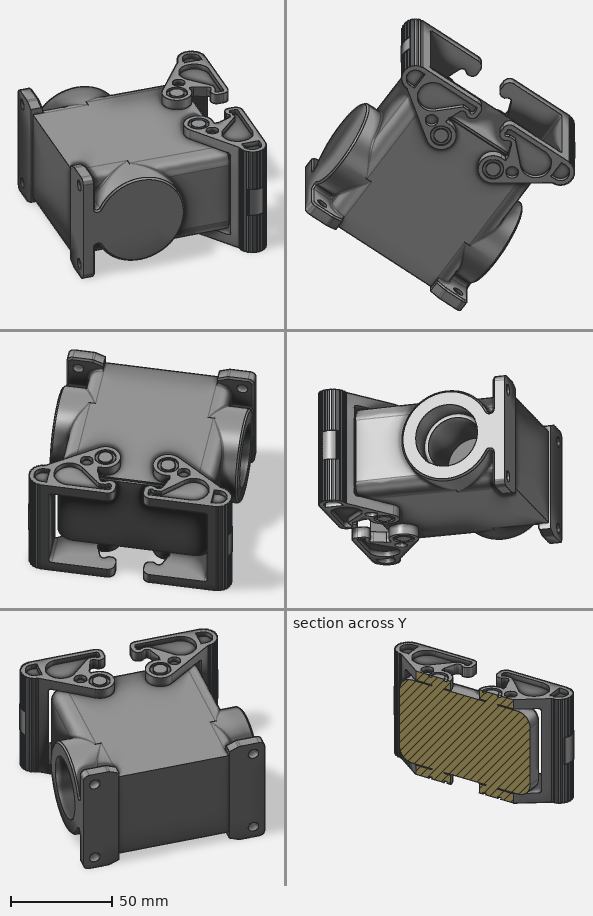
import cadquery as cq
import math


BODY_START = 1.0
STEP_Y = 30.0
BODY_END = 79.9
DRAFT_ANGLE = 0.3
BASE_HALF_HEIGHT = 23.68
LOWER_HALF_WIDTH = 35.65
UPPER_HALF_WIDTH = 38.4
BODY_CORNER_RADIUS = 7.5
LIP_HEIGHT = 1.2
LIP_INSET = 1.0

MOUNT_HALF_WIDTH = 46.95
FOOT_INNER_X = 28.6
FOOT_HALF_LENGTH = 28.9
FOOT_THICKNESS = 6.2
FOOT_CORNER_RADIUS = 3.0
FOOT_TAPER_LENGTH = 5.2
FOOT_TAPER_WIDTH = 2.1
FOOT_TAPER_BLEND = 3.0
FOOT_HOLE_X = 41.1
FOOT_HOLE_Z = 22.6
FOOT_HOLE_DIAMETER = 5.4
RIM_CHAMFER = 0.9
ROOT_FILLET = 0.8
BOSS_Y = STEP_Y
BOSS_RADIUS = 23.5
NOTCH_RADIUS = 1.5
BORE_RADIUS = 16.0
BORE_DEPTH = 14.4
INNER_BORE_RADIUS = 14.0

LEVER_HALF_HEIGHT = 29.0
ARM_INNER_Z = 23.6
LEVER_TOP = 96.9
GRIP_RADIUS = 7.0
GRIP_X = -43.8
GRIP_Y = LEVER_TOP - GRIP_RADIUS
GRIP_INNER_X = -39.7
GRIP_CORNER_RADIUS = 1.5
GROOVE_PITCH = 16.0
GROOVES_PER_SIDE = 5
GROOVE_WIDTH = 0.8
GROOVE_DEPTH = 0.25
PAD_HEIGHT = 0.25
PAD_HALF_LENGTH = 7.5
PAD_HALF_ANGLE = 38.0

HUB_X = -15.7
HUB_Y = 72.0
HUB_RADIUS = 7.4
PIVOT_GROOVE_RADIUS = 5.2
PIVOT_RADIUS = 3.6
PIVOT_GROOVE_DEPTH = 1.0
PIN_EMBED_IN_BODY = 2.0
PIN_EMBED_IN_ARM = 1.0

HOOK_END_X = -7.1
HOOK_RADIUS = 3.6
HOOK_TIP_RADIUS = 3.0
HOOK_BOTTOM = 87.9
HOOK_FLAT_LENGTH = 1.2
THROAT_RADIUS = 2.0
THROAT_START = (-12.4, 88.7)
THROAT_END = (-15.7, 87.7)
SHOULDER_X = -18.0
SHOULDER_TOP = 81.7

POCKET_DEPTH = 2.8
POCKET_X = -31.05
POCKET_Y = 86.8
POCKET_RADIUS = 7.7
POCKET_END_X = -9.4
POCKET_END_RADIUS = 1.2
POCKET_END_SIDE_BOTTOM = 91.2
POCKET_END_BOTTOM = (-11.4, 90.5)
POCKET_NECK_BOTTOM = 91.0
POCKET_NECK_START_X = -12.2
POCKET_NECK_END_X = -15.7
GRIP_POCKET_RADIUS = 4.5
GRIP_POCKET_FLAT_X = -41.2
STOP_HOLE_X = -24.3
STOP_HOLE_Y = 76.1
STOP_HOLE_RADIUS = 3.1


def draft_at(distance):
    """Amount each side has moved inwards after a length along Y."""
    return distance * math.tan(math.radians(DRAFT_ANGLE))


def drafted_block(start_y, end_y, half_width, half_height):
    plane = cq.Plane(origin=(0, start_y, 0), xDir=(1, 0, 0), normal=(0, 1, 0))
    outline = cq.Sketch().rect(2 * half_width, 2 * half_height).vertices().fillet(BODY_CORNER_RADIUS)
    return cq.Workplane(plane).placeSketch(outline).extrude(end_y - start_y, taper=DRAFT_ANGLE)


def make_body():
    step_half_height = BASE_HALF_HEIGHT - draft_at(STEP_Y - BODY_START)
    lower = drafted_block(BODY_START, STEP_Y, LOWER_HALF_WIDTH, BASE_HALF_HEIGHT)
    upper = drafted_block(STEP_Y, BODY_END, UPPER_HALF_WIDTH, step_half_height)
    end_inset = draft_at(BODY_END - STEP_Y) + LIP_INSET
    lip = drafted_block(
        BODY_END, BODY_END + LIP_HEIGHT, UPPER_HALF_WIDTH - end_inset, step_half_height - end_inset
    )
    return lower.union(upper).union(lip)


def x_cylinder(x, y, z, radius, length):
    plane = cq.Plane(origin=(x, y, z), xDir=(0, 1, 0), normal=(1, 0, 0))
    return cq.Workplane(plane).circle(radius).extrude(length)


def make_mount():
    """Foot, web and boss on the -X side, as one profile along X with a chamfered rim."""
    length = MOUNT_HALF_WIDTH - FOOT_INNER_X
    boss = x_cylinder(-MOUNT_HALF_WIDTH, BOSS_Y, 0, BOSS_RADIUS, length)

    notch_y = FOOT_THICKNESS + NOTCH_RADIUS
    notch_z = math.sqrt((BOSS_RADIUS + NOTCH_RADIUS) ** 2 - (BOSS_Y - notch_y) ** 2)
    touch = BOSS_RADIUS / (BOSS_RADIUS + NOTCH_RADIUS)
    touch_y = BOSS_Y + (notch_y - BOSS_Y) * touch
    touch_z = notch_z * touch
    toward_axis = math.atan2(-notch_z, BOSS_Y - notch_y)
    mid_angle = (toward_axis - math.pi) / 2
    mid_y = notch_y + NOTCH_RADIUS * math.cos(mid_angle)
    mid_z = notch_z + NOTCH_RADIUS * math.sin(mid_angle)
    plane = cq.Plane(origin=(-MOUNT_HALF_WIDTH, 0, 0), xDir=(0, 1, 0), normal=(1, 0, 0))
    web = (
        cq.Workplane(plane)
        .moveTo(0, notch_z)
        .lineTo(FOOT_THICKNESS, notch_z)
        .threePointArc((mid_y, mid_z), (touch_y, touch_z))
        .lineTo(touch_y, -touch_z)
        .threePointArc((mid_y, -mid_z), (FOOT_THICKNESS, -notch_z))
        .lineTo(0, -notch_z)
        .close()
        .extrude(length)
    )

    foot_plane = cq.Plane(origin=(0, 0, 0), xDir=(1, 0, 0), normal=(0, 1, 0))
    taper_x = -FOOT_INNER_X - FOOT_TAPER_LENGTH
    taper_z = FOOT_HALF_LENGTH - FOOT_TAPER_WIDTH
    foot = (
        cq.Workplane(foot_plane)
        .moveTo(-MOUNT_HALF_WIDTH, FOOT_HALF_LENGTH)
        .lineTo(taper_x, FOOT_HALF_LENGTH)
        .lineTo(-FOOT_INNER_X, taper_z)
        .lineTo(-FOOT_INNER_X, -taper_z)
        .lineTo(taper_x, -FOOT_HALF_LENGTH)
        .lineTo(-MOUNT_HALF_WIDTH, -FOOT_HALF_LENGTH)
        .close()
        .extrude(FOOT_THICKNESS)
        .edges("|Y and <X")
        .fillet(FOOT_CORNER_RADIUS)
    )
    taper_starts = [
        edge for edge in foot.edges("|Y").vals() if math.isclose(edge.Center().x, taper_x, abs_tol=0.01)
    ]
    foot = foot.newObject(taper_starts).fillet(FOOT_TAPER_BLEND)
    mount = foot.union(web).union(boss)

    def on_rim(edge):
        box = edge.BoundingBox()
        tolerance = 0.01
        on_outer_face = box.xmax < -MOUNT_HALF_WIDTH + tolerance
        on_foot_top = abs(box.ymin - FOOT_THICKNESS) < tolerance and box.ymax - box.ymin < tolerance
        on_inner_face = box.xmin > -FOOT_INNER_X - tolerance
        along_notch = abs(abs(edge.Center().z) - notch_z) < tolerance
        above_base = box.ymax > tolerance
        return above_base and (on_outer_face or (on_foot_top and not on_inner_face and not along_notch))

    rim = [edge for edge in mount.edges().vals() if on_rim(edge)]
    mount = mount.newObject(rim).chamfer(RIM_CHAMFER)
    holes = (
        cq.Workplane(foot_plane)
        .pushPoints([(-FOOT_HOLE_X, FOOT_HOLE_Z), (-FOOT_HOLE_X, -FOOT_HOLE_Z)])
        .circle(FOOT_HOLE_DIAMETER / 2)
        .extrude(FOOT_THICKNESS)
    )
    return mount.cut(holes)


def tangent_line(x1, y1, r1, x2, y2, r2):
    """Touching points of the line running below two circles, from the first to the second."""
    direction = math.atan2(y2 - y1, x2 - x1)
    spread = math.acos((r1 - r2) / math.hypot(x2 - x1, y2 - y1))
    angle = direction - spread
    first = (x1 + r1 * math.cos(angle), y1 + r1 * math.sin(angle))
    second = (x2 + r2 * math.cos(angle), y2 + r2 * math.sin(angle))
    return first, second


def lever_plate():
    """Full-height lever outline: grip on the left, hook at upper right, hub at lower right."""
    hook_arc_x = HOOK_END_X - HOOK_RADIUS
    tip_arc_x = HOOK_END_X - HOOK_TIP_RADIUS
    flank_start = (GRIP_X, GRIP_Y - GRIP_RADIUS)
    hub_touch = tangent_line(*flank_start, 0, HUB_X, HUB_Y, HUB_RADIUS)[1]
    hub_top = HUB_Y + HUB_RADIUS
    diagonal = math.sqrt(0.5)
    return (
        cq.Workplane("XY", origin=(0, 0, -LEVER_HALF_HEIGHT))
        .moveTo(GRIP_X, LEVER_TOP)
        .lineTo(hook_arc_x, LEVER_TOP)
        .threePointArc(
            (hook_arc_x + HOOK_RADIUS * diagonal, LEVER_TOP - HOOK_RADIUS * (1 - diagonal)),
            (HOOK_END_X, LEVER_TOP - HOOK_RADIUS),
        )
        .lineTo(HOOK_END_X, HOOK_BOTTOM + HOOK_TIP_RADIUS)
        .radiusArc((tip_arc_x, HOOK_BOTTOM), HOOK_TIP_RADIUS)
        .lineTo(tip_arc_x - HOOK_FLAT_LENGTH, HOOK_BOTTOM)
        .lineTo(*THROAT_START)
        .radiusArc(THROAT_END, -THROAT_RADIUS)
        .lineTo(SHOULDER_X, SHOULDER_TOP)
        .lineTo(SHOULDER_X, hub_top)
        .lineTo(HUB_X, hub_top)
        .threePointArc((HUB_X + HUB_RADIUS, HUB_Y), hub_touch)
        .lineTo(*flank_start)
        .threePointArc((GRIP_X - GRIP_RADIUS, GRIP_Y), (GRIP_X, LEVER_TOP))
        .close()
        .extrude(2 * LEVER_HALF_HEIGHT)
    )


def teardrop_pocket():
    neck_top = POCKET_Y + POCKET_RADIUS
    corner = (POCKET_NECK_END_X, POCKET_NECK_BOTTOM)
    circle_touch = tangent_line(POCKET_X, POCKET_Y, POCKET_RADIUS, *corner, 0)[0]
    return (
        cq.Workplane("XY", origin=(0, 0, LEVER_HALF_HEIGHT))
        .moveTo(POCKET_X, neck_top)
        .lineTo(POCKET_END_X - POCKET_END_RADIUS, neck_top)
        .radiusArc((POCKET_END_X, neck_top - POCKET_END_RADIUS), POCKET_END_RADIUS)
        .lineTo(POCKET_END_X, POCKET_END_SIDE_BOTTOM)
        .radiusArc(POCKET_END_BOTTOM, POCKET_END_RADIUS)
        .lineTo(POCKET_NECK_START_X, POCKET_NECK_BOTTOM)
        .lineTo(*corner)
        .lineTo(*circle_touch)
        .threePointArc((POCKET_X - POCKET_RADIUS, POCKET_Y), (POCKET_X, neck_top))
        .close()
        .extrude(-POCKET_DEPTH)
    )


def grip_pocket():
    return (
        cq.Workplane("XY", origin=(0, 0, LEVER_HALF_HEIGHT))
        .moveTo(GRIP_X, GRIP_Y + GRIP_POCKET_RADIUS)
        .lineTo(GRIP_POCKET_FLAT_X, GRIP_Y + GRIP_POCKET_RADIUS)
        .lineTo(GRIP_POCKET_FLAT_X, GRIP_Y - GRIP_POCKET_RADIUS)
        .lineTo(GRIP_X, GRIP_Y - GRIP_POCKET_RADIUS)
        .threePointArc((GRIP_X - GRIP_POCKET_RADIUS, GRIP_Y), (GRIP_X, GRIP_Y + GRIP_POCKET_RADIUS))
        .close()
        .extrude(-POCKET_DEPTH)
    )


def round_pocket(x, y, radius, depth):
    return cq.Workplane("XY", origin=(x, y, LEVER_HALF_HEIGHT)).circle(radius).extrude(-depth)


def make_lever():
    """Lever on the -X side: two arms joined by a grooved grip bar."""
    full_height = 2 * LEVER_HALF_HEIGHT
    lever = lever_plate()
    opening_length = 2 * MOUNT_HALF_WIDTH
    opening = (
        cq.Workplane("XY")
        .box(opening_length, opening_length, 2 * ARM_INNER_Z)
        .edges("|Y and <X")
        .fillet(GRIP_CORNER_RADIUS)
        .translate((GRIP_INNER_X + opening_length / 2, BODY_END, 0))
    )
    lever = lever.cut(opening)

    groove = cq.Workplane("XY").box(2 * GROOVE_DEPTH, GROOVE_WIDTH, full_height)
    for index in range(-GROOVES_PER_SIDE, GROOVES_PER_SIDE + 1):
        placed = groove.translate((-GRIP_RADIUS, 0, 0)).rotate((0, 0, 0), (0, 0, 1), index * GROOVE_PITCH)
        lever = lever.cut(placed.translate((GRIP_X, GRIP_Y, 0)))

    pad_x = (GRIP_RADIUS + PAD_HEIGHT) * math.cos(math.radians(PAD_HALF_ANGLE))
    pad_limit = cq.Workplane("XY").box(GRIP_RADIUS, 2 * GRIP_RADIUS, 2 * PAD_HALF_LENGTH)
    pad = (
        cq.Workplane("XY", origin=(0, 0, -PAD_HALF_LENGTH))
        .circle(GRIP_RADIUS + PAD_HEIGHT)
        .extrude(2 * PAD_HALF_LENGTH)
        .intersect(pad_limit.translate((-pad_x - GRIP_RADIUS / 2, 0, 0)))
    )
    lever = lever.union(pad.translate((GRIP_X, GRIP_Y, 0)))

    pivot_ring = round_pocket(HUB_X, HUB_Y, PIVOT_GROOVE_RADIUS, PIVOT_GROOVE_DEPTH).cut(
        round_pocket(HUB_X, HUB_Y, PIVOT_RADIUS, PIVOT_GROOVE_DEPTH)
    )
    pockets = (
        pivot_ring.union(teardrop_pocket())
        .union(grip_pocket())
        .union(round_pocket(STOP_HOLE_X, STOP_HOLE_Y, STOP_HOLE_RADIUS, POCKET_DEPTH))
    )
    lever = lever.cut(pockets).cut(pockets.mirror("XY"))

    pin = (
        cq.Workplane("XY", origin=(HUB_X, HUB_Y, ARM_INNER_Z - PIN_EMBED_IN_BODY))
        .circle(PIVOT_RADIUS)
        .extrude(PIN_EMBED_IN_BODY + PIN_EMBED_IN_ARM)
    )
    return lever.union(pin).union(pin.mirror("XY"))


def cable_entry():
    """Stepped bore in the -X boss, ending at mid-width."""
    outer = x_cylinder(-MOUNT_HALF_WIDTH, BOSS_Y, 0, BORE_RADIUS, BORE_DEPTH)
    inner = x_cylinder(-MOUNT_HALF_WIDTH, BOSS_Y, 0, INNER_BORE_RADIUS, MOUNT_HALF_WIDTH)
    return outer.union(inner)


def is_root_edge(edge, body, mount):
    """True where a mount meets the body, apart from the step and the inner ends of the feet."""
    tolerance = 0.001
    box = edge.BoundingBox()
    on_step = box.ymax - box.ymin < tolerance and abs(box.ymin - STEP_Y) < tolerance
    middle = edge.positionAt(0.5)
    on_inner_end = abs(middle.x) < FOOT_INNER_X + tolerance
    vertex = cq.Vertex.makeVertex(middle.x, middle.y, middle.z)
    touches_both = all(part.val().distance(vertex) < tolerance for part in (body, mount))
    return touches_both and not on_step and not on_inner_end


def make_housing():
    """Body with both mounts, filleted where they join."""
    body = make_body()
    left_mount = make_mount()
    right_mount = left_mount.mirror("YZ")
    housing = body.union(left_mount).union(right_mount)
    roots = [
        edge
        for edge in housing.edges().vals()
        if any(is_root_edge(edge, body, mount) for mount in (left_mount, right_mount))
    ]
    return housing.newObject(roots).fillet(ROOT_FILLET)


lever = make_lever()
result = make_housing().union(lever).union(lever.mirror("YZ")).cut(cable_entry())